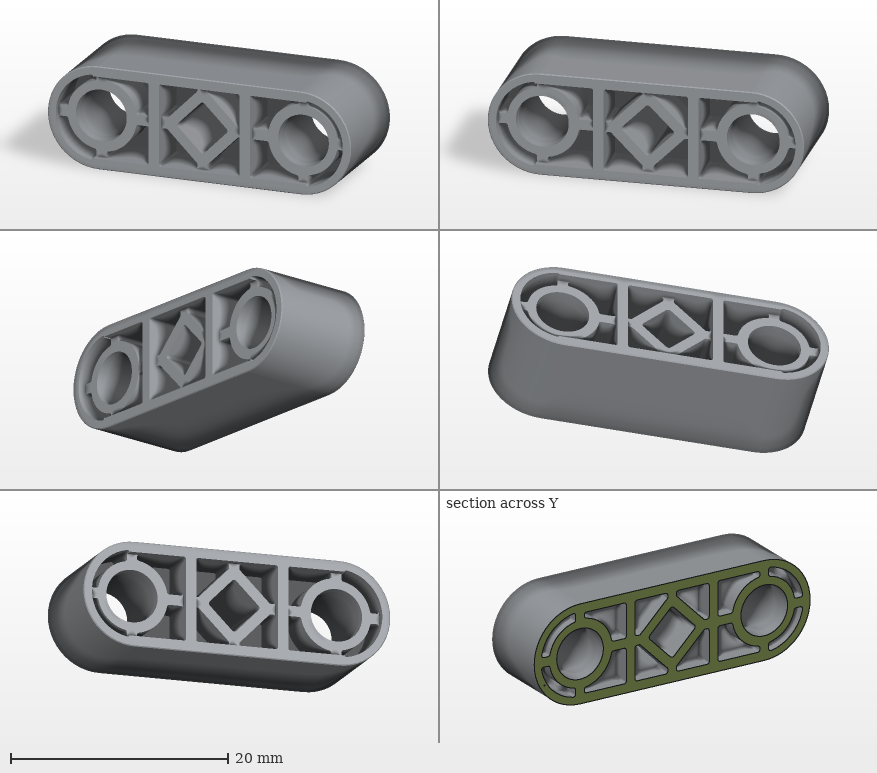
import cadquery as cq
import math

length = 30.0
cell_pitch = length / 3
height = cell_pitch
depth = cell_pitch
rim_bevel = 0.1

wall = length / 30
rib = wall
web = wall
cell_size = height - 2 * wall
tube_recess = 0.8
corner_radius = 0.2

bore_diameter = 5.0
tube_diameter = bore_diameter + 2 * wall
thin_tube_diameter = 6.7
end_cavity_diameter = 8.4

diamond_side = cell_size / math.sqrt(2)
diamond_hole_side = diamond_side - 2 * wall
diamond_hole_radius = 0.3


def block(size_x, size_z, size_y=depth):
    """Box centred on the origin, through the whole depth unless told otherwise."""
    return cq.Workplane("XY").box(size_x, size_y, size_z)


def cylinder(diameter):
    """Cylinder along Y through the whole depth."""
    return cq.Workplane("XZ").circle(diameter / 2).extrude(depth / 2, both=True)


def square_prism(side):
    """Square prism along Y, standing on its corner."""
    return block(side, side).rotate((0, 0, 0), (0, 1, 0), 45)


def beam_body():
    bar = cq.Workplane("XZ").slot2D(length, height).extrude(depth / 2, both=True)
    return bar.faces("<Y or >Y").chamfer(rim_bevel)


def outer_half():
    """Everything in the right-hand end cell beyond the far side of its upright rib."""
    return block(height, height).translate(((height + rib) / 2, 0, 0))


def middle_cavity():
    return block(cell_size, cell_size)


def end_square_cavity():
    """Part of the right-hand cell from the wall of the middle cell to the far side of the upright rib."""
    width = (height + rib) / 2
    return block(width, cell_size).translate(((rib - width) / 2, 0, 0))


def end_round_cavity():
    """Part of the right-hand cell that follows the round end of the beam."""
    return cylinder(end_cavity_diameter).intersect(outer_half())


def rounded(prism, corners="|Y"):
    return prism.edges(corners).fillet(corner_radius)


def cell_cut(cavity, tube, recess_corners="|Y"):
    """Material removed from both faces of a cell, leaving a recessed tube and ribs on the web."""
    ribs = block(length, rib).union(block(rib, height))
    pockets = rounded(cavity.cut(tube).cut(ribs)).cut(block(length, height, web))
    recess = cavity.cut(block(length, height, depth - 2 * tube_recess))
    return pockets.union(rounded(recess, recess_corners))


middle_cut = cell_cut(middle_cavity(), square_prism(diamond_side))
diamond_hole = square_prism(diamond_hole_side).edges("|Y").fillet(diamond_hole_radius)
end_cuts = [
    cell_cut(end_square_cavity(), cylinder(tube_diameter), recess_corners="|Y and <X"),
    cell_cut(end_round_cavity(), cylinder(thin_tube_diameter)),
    cylinder(bore_diameter),
]

result = beam_body().cut(middle_cut).cut(diamond_hole)
for turn in (0, 180):
    for end_cut in end_cuts:
        result = result.cut(end_cut.translate((cell_pitch, 0, 0)).rotate((0, 0, 0), (0, 1, 0), turn))